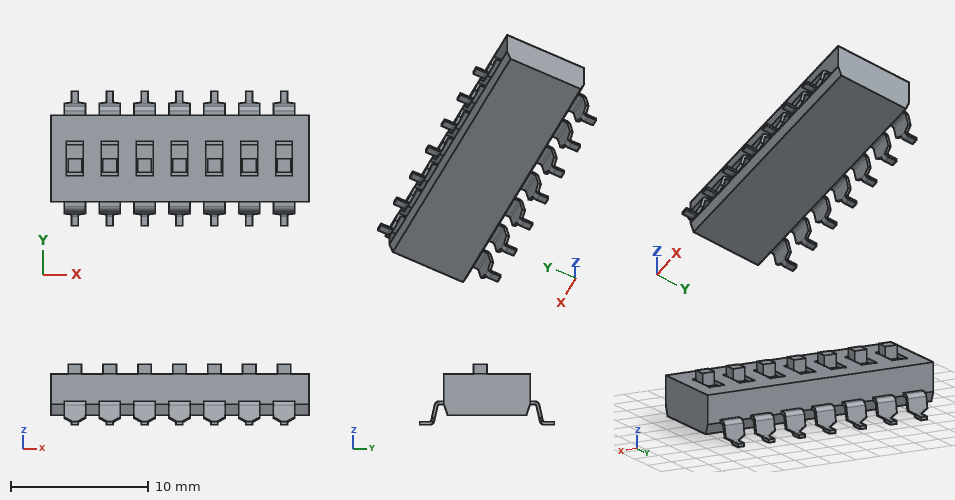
import cadquery as cq
import math


position_count = 7
pitch = 2.55
row_offset = -0.04

body_length = 18.82
body_width = 6.3
body_height = 3.03
standoff = 0.7
body_top = standoff + body_height
chamfer_inset = 0.28
chamfer_top = 1.5

slider_size = 1.0
slider_rise = 0.72

window_width = 1.22
window_length = 2.52
ledge_depth = 0.1
pocket_length = 2 * slider_size
pocket_depth = 0.3

lead_span = 9.8
lead_thickness = 0.25
lead_width = 1.56
foot_width = 0.5
lead_top = 1.73
shoulder_end = 3.46
shoulder_embed = 0.19
bend_inner_radius = 0.13
bend_outer_radius = bend_inner_radius + lead_thickness
bend_angle = math.radians(73)
taper_top = 0.56
taper_bottom = 0.26

first_x = row_offset - (position_count - 1) * pitch / 2
switch_x = [first_x + i * pitch for i in range(position_count)]


def on_circle(center, radius, angle):
    """Point on a circle, with the angle measured from the first axis."""
    return (center[0] + radius * math.cos(angle), center[1] + radius * math.sin(angle))


def make_body():
    """Housing with both lower long edges sloped inward."""
    half_width = body_width / 2
    half_base = half_width - chamfer_inset
    outline = [
        (-half_base, standoff),
        (half_base, standoff),
        (half_width, chamfer_top),
        (half_width, body_top),
        (-half_width, body_top),
        (-half_width, chamfer_top),
    ]
    return cq.Workplane("YZ").polyline(outline).close().extrude(body_length / 2, both=True)


def make_window(x):
    """Cutter for one slider window: a shallow opening over a shorter, deeper pocket."""
    top_plane = cq.Workplane("XY", origin=(x, 0, body_top))
    opening = top_plane.rect(window_width, window_length).extrude(-ledge_depth)
    pocket = top_plane.rect(window_width, pocket_length).extrude(-pocket_depth)
    return opening.union(pocket)


def make_slider(x):
    """Square post standing on the pocket floor."""
    y = (slider_size - pocket_length) / 2
    floor = cq.Workplane("XY", origin=(x, y, body_top - pocket_depth))
    return floor.rect(slider_size, slider_size).extrude(pocket_depth + slider_rise)


def make_lead():
    """Gull-wing lead centered on X = 0, leaving the +Y side of the housing."""
    upper = (shoulder_end, lead_top - bend_outer_radius)
    lower_z = bend_outer_radius

    shank_lean = math.pi / 2 - bend_angle
    bend_radius_sum = bend_outer_radius + bend_inner_radius
    shank_drop = upper[1] - lower_z - bend_radius_sum * math.sin(shank_lean)
    shank_run = shank_drop * math.tan(shank_lean)
    lower = (shoulder_end + bend_radius_sum * math.cos(shank_lean) + shank_run, lower_z)

    root = body_width / 2 - shoulder_embed
    tip = lead_span / 2
    up = math.pi / 2
    half_bend = up - bend_angle / 2
    facing_shank = math.pi + shank_lean
    facing_half_bend = math.pi + half_bend

    strip = (
        cq.Workplane("YZ")
        .moveTo(root, lead_top)
        .lineTo(shoulder_end, lead_top)
        .threePointArc(
            on_circle(upper, bend_outer_radius, half_bend),
            on_circle(upper, bend_outer_radius, shank_lean),
        )
        .lineTo(*on_circle(lower, bend_inner_radius, facing_shank))
        .threePointArc(
            on_circle(lower, bend_inner_radius, facing_half_bend),
            (lower[0], lead_thickness),
        )
        .lineTo(tip, lead_thickness)
        .lineTo(tip, 0)
        .lineTo(lower[0], 0)
        .threePointArc(
            on_circle(lower, bend_outer_radius, facing_half_bend),
            on_circle(lower, bend_outer_radius, facing_shank),
        )
        .lineTo(*on_circle(upper, bend_inner_radius, shank_lean))
        .threePointArc(
            on_circle(upper, bend_inner_radius, half_bend),
            (shoulder_end, lead_top - lead_thickness),
        )
        .lineTo(root, lead_top - lead_thickness)
        .close()
        .extrude(lead_width / 2, both=True)
    )

    shank_point = on_circle(lower, bend_inner_radius, facing_shank)
    shank_plane = cq.Plane(
        origin=(0, shank_point[0], 0),
        xDir=(1, 0, 0),
        normal=(0, -math.cos(shank_lean), -math.sin(shank_lean)),
    )
    width_outline = [
        (-lead_width / 2, lead_span),
        (-lead_width / 2, taper_top),
        (-foot_width / 2, taper_bottom),
        (-foot_width / 2, -lead_span),
        (foot_width / 2, -lead_span),
        (foot_width / 2, taper_bottom),
        (lead_width / 2, taper_top),
        (lead_width / 2, lead_span),
    ]
    blank = cq.Workplane(shank_plane).polyline(width_outline).close().extrude(tip, both=True)
    return strip.intersect(blank)


result = make_body()
lead = make_lead()
opposite_lead = lead.mirror("XZ")

for x in switch_x:
    result = result.cut(make_window(x))
    result = result.union(make_slider(x))
    result = result.union(lead.translate((x, 0, 0)))
    result = result.union(opposite_lead.translate((x, 0, 0)))